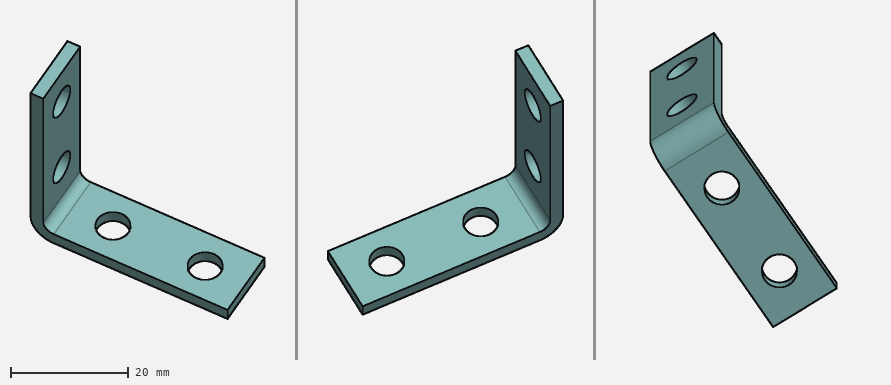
import cadquery as cq

leg_length = 38.5
width = 13.0
thickness = 2.5
inner_bend_radius = 2.0
hole_diameter = 6.0
hole_end_distance = 8.0
hole_spacing = 18.0

outer_bend_radius = inner_bend_radius + thickness
outer_hole_position = leg_length - hole_end_distance
inner_hole_position = outer_hole_position - hole_spacing
hole_positions = (inner_hole_position, outer_hole_position)


def bent_strip():
    """Equal-leg L profile in XZ, rounded at the bend, centred across its width."""
    profile = (
        cq.Workplane("XZ")
        .moveTo(0, 0)
        .lineTo(leg_length, 0)
        .lineTo(leg_length, thickness)
        .lineTo(thickness, thickness)
        .lineTo(thickness, leg_length)
        .lineTo(0, leg_length)
        .close()
    )
    strip = profile.extrude(width / 2, both=True)
    outer_corner = cq.selectors.NearestToPointSelector((0, 0, 0))
    inner_corner = cq.selectors.NearestToPointSelector((thickness, 0, thickness))
    strip = strip.edges("|Y").edges(outer_corner).fillet(outer_bend_radius)
    return strip.edges("|Y").edges(inner_corner).fillet(inner_bend_radius)


def leg_holes(plane, centers):
    """Cylinders that pass through one leg, starting at its outer face."""
    return (
        cq.Workplane(plane)
        .pushPoints(centers)
        .circle(hole_diameter / 2)
        .extrude(thickness)
    )


horizontal_leg_holes = leg_holes("XY", [(x, 0) for x in hole_positions])
upright_leg_holes = leg_holes("YZ", [(0, z) for z in hole_positions])

result = bent_strip().cut(horizontal_leg_holes).cut(upright_leg_holes)